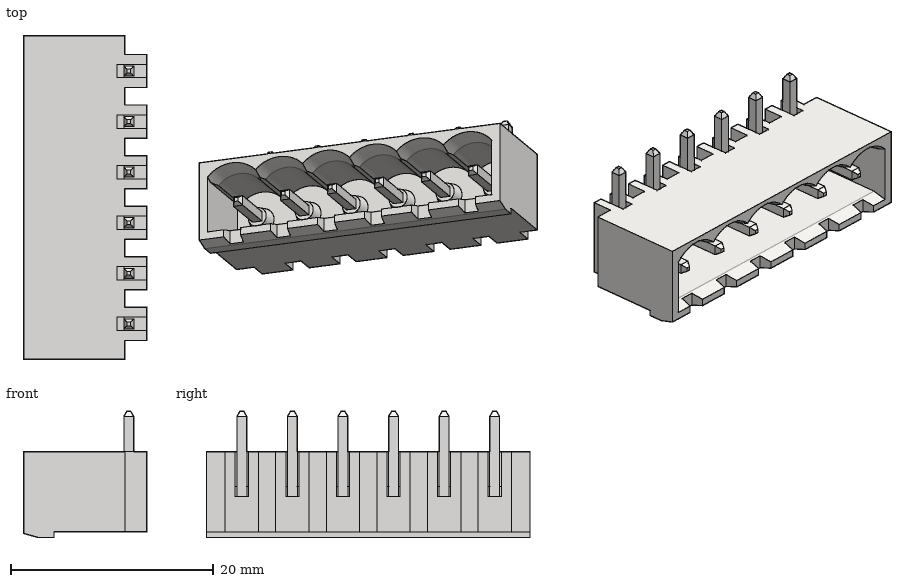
import cadquery as cq


LENGTH = 32
HEIGHT = 8.5
DEPTH = 12.2
TOTAL_HEIGHT = 12.5

POLES = 6
PIN_SPAN = 25.0
PITCH = PIN_SPAN / (POLES - 1)
PIN_Y = [(i - (POLES - 1) / 2) * PITCH for i in range(POLES)]

BODY_DEPTH = 10.0
BASE_Z = 0.58
LIP_DEPTH = 3.0
LIP_BEVEL_DEPTH = 1.5
LIP_BEVEL_HEIGHT = 0.4
RIB_WIDTH = 3.3

PIN_SIZE = 1.0
PIN_TIP_SIZE = 0.4
PIN_TIP_LENGTH = 0.5
PIN_Z = 4.58
PIN_FRONT_X = 1.1
TAIL_X = 10.4

WALL = 0.9
CAVITY_DEPTH = 8
FLOOR_Z = 1.5
FLOOR_FRONT_Z = 1.15
FLOOR_FLARE_DEPTH = 1.5
CEILING_Z = 6.6
SCALLOP_RADIUS = 3.0
SCALLOP_FRONT_RADIUS = 3.5
CEILING_FLARE_DEPTH = 2.0

BOSS_BASE_RADIUS = 1.28
BOSS_TOP_RADIUS = 0.95
BOSS_HEIGHT = 1.28

NOTCH_FRONT_WIDTH = 1.8
NOTCH_BACK_WIDTH = 1.4
NOTCH_DEPTH = 1.25

SLOT_WIDTH = 1.3
SLOT_FRONT_X = 9.25


def box(x0, x1, y_center, width, z0, z1):
    return cq.Workplane("XY").box(x1 - x0, width, z1 - z0, centered=(False, True, False)).translate(
        (x0, y_center, z0)
    )


def frustum(y, x0, x1, r0, r1):
    """Cone frustum around a pin axis, radius r0 at x0 and r1 at x1."""
    cone = cq.Solid.makeCone(r0, r1, x1 - x0, cq.Vector(x0, y, PIN_Z), cq.Vector(1, 0, 0))
    return cq.Workplane(obj=cone)


def housing():
    profile = [
        (0, LIP_BEVEL_HEIGHT),
        (LIP_BEVEL_DEPTH, 0),
        (LIP_DEPTH, 0),
        (LIP_DEPTH, BASE_Z),
        (BODY_DEPTH, BASE_Z),
        (BODY_DEPTH, HEIGHT),
        (0, HEIGHT),
    ]
    body = cq.Workplane("XZ").polyline(profile).close().extrude(LENGTH / 2, both=True)
    for y in PIN_Y:
        body = body.union(box(SLOT_FRONT_X, DEPTH, y, RIB_WIDTH, BASE_Z, HEIGHT))
    return body


def cavity():
    """Open space inside the shroud: flared floor, scalloped and flared ceiling."""
    profile = [
        (0, FLOOR_FRONT_Z),
        (FLOOR_FLARE_DEPTH, FLOOR_Z),
        (CAVITY_DEPTH, FLOOR_Z),
        (CAVITY_DEPTH, CEILING_Z),
        (0, CEILING_Z),
    ]
    inner_width = LENGTH - 2 * WALL
    space = cq.Workplane("XZ").polyline(profile).close().extrude(inner_width / 2, both=True)
    limits = box(0, CAVITY_DEPTH, 0, inner_width, PIN_Z, HEIGHT)
    for y in PIN_Y:
        scallop = cq.Workplane("YZ", origin=(0, y, PIN_Z)).circle(SCALLOP_RADIUS).extrude(CAVITY_DEPTH)
        flare = frustum(y, 0, CEILING_FLARE_DEPTH, SCALLOP_FRONT_RADIUS, SCALLOP_RADIUS)
        space = space.union(scallop.intersect(limits)).union(flare.intersect(limits))
    return space


def notch(y):
    """Opening through the front lip below a pin, narrowing towards the back."""
    outline = [
        (0, y - NOTCH_FRONT_WIDTH / 2),
        (NOTCH_DEPTH, y - NOTCH_BACK_WIDTH / 2),
        (NOTCH_DEPTH, y + NOTCH_BACK_WIDTH / 2),
        (0, y + NOTCH_FRONT_WIDTH / 2),
    ]
    return cq.Workplane("XY").polyline(outline).close().extrude(FLOOR_Z)


def tail_slot(y):
    """Stepped slot, open at the top and rear, that takes the bent pin."""
    pin_face_x = TAIL_X - PIN_SIZE / 2
    leg_bottom = PIN_Z - PIN_SIZE / 2
    leg_top = PIN_Z + PIN_SIZE / 2
    shallow = box(SLOT_FRONT_X, pin_face_x, y, SLOT_WIDTH, leg_top, HEIGHT)
    deep = box(pin_face_x, DEPTH, y, SLOT_WIDTH, leg_bottom, HEIGHT)
    return shallow.union(deep)


def pointed_bar(length):
    """Square bar up +Z from the origin, ending in a blunt pyramid tip."""
    shaft = length - PIN_TIP_LENGTH
    bar = cq.Workplane("XY").rect(PIN_SIZE, PIN_SIZE).extrude(shaft)
    tip = (
        cq.Workplane("XY", origin=(0, 0, shaft))
        .rect(PIN_SIZE, PIN_SIZE)
        .workplane(offset=PIN_TIP_LENGTH)
        .rect(PIN_TIP_SIZE, PIN_TIP_SIZE)
        .loft()
    )
    return bar.union(tip)


def pin(y):
    """Right-angle pin: a leg along -X into the cavity and a tail up +Z."""
    corner_x = TAIL_X + PIN_SIZE / 2
    leg_bottom = PIN_Z - PIN_SIZE / 2
    leg = pointed_bar(corner_x - PIN_FRONT_X).rotate((0, 0, 0), (0, 1, 0), -90)
    tail = pointed_bar(TOTAL_HEIGHT - leg_bottom)
    return leg.translate((corner_x, y, PIN_Z)).union(tail.translate((TAIL_X, y, leg_bottom)))


result = housing().cut(cavity())
for pin_y in PIN_Y:
    boss = frustum(pin_y, CAVITY_DEPTH - BOSS_HEIGHT, CAVITY_DEPTH, BOSS_TOP_RADIUS, BOSS_BASE_RADIUS)
    result = result.cut(notch(pin_y)).cut(tail_slot(pin_y)).union(boss).union(pin(pin_y))